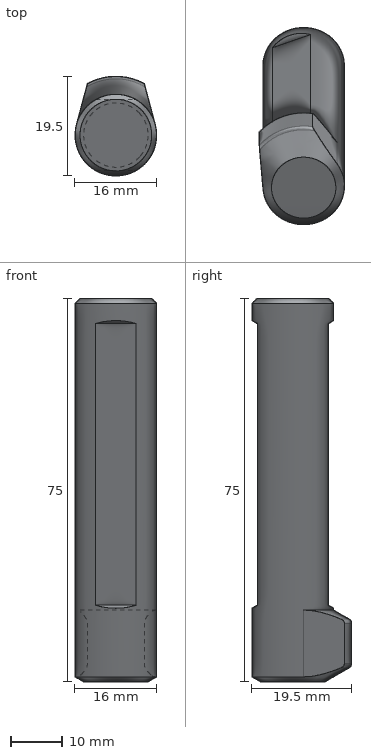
import cadquery as cq
import math

length = 75.0
diameter = 16.0
radius = diameter / 2
top_chamfer = 1.0

total_depth = 19.5
lobe_radius = total_depth - radius
lobe_side_angle = 15.0
bevel_slope = math.tan(math.radians(30))
bottom_rim = 1.0
lobe_top = 14.0
lobe_fillet = 1.0
bottom_radius = radius - bottom_rim / bevel_slope

flat_width = 7.95
flat_bottom = 15.0
flat_top = 70.05
flat_y = math.sqrt(radius**2 - (flat_width / 2) ** 2)
cut_margin = 0.75


def make_pin():
    """Round pin with a bevelled bottom and a chamfered top."""
    profile = [
        (0, 0),
        (bottom_radius, 0),
        (radius, bottom_rim),
        (radius, length - top_chamfer),
        (radius - top_chamfer, length),
        (0, length),
    ]
    return cq.Workplane("XZ").polyline(profile).close().revolve(360, (0, 0, 0), (0, 1, 0))


def make_lobe():
    """Double-bevelled disc trimmed to a teardrop: pin circle, tangent side faces, outer arc."""
    bevel_rise = (lobe_radius - bottom_radius) * bevel_slope
    top_height = lobe_top + bottom_rim
    profile = [
        (0, 0),
        (bottom_radius, 0),
        (lobe_radius, bevel_rise),
        (lobe_radius, top_height - bevel_rise),
        (bottom_radius, top_height),
        (0, top_height),
    ]
    disc = cq.Workplane("XZ").polyline(profile).close().revolve(360, (0, 0, 0), (0, 1, 0))
    outer_edges = cq.selectors.RadiusNthSelector(-1)
    disc = disc.edges("%CIRCLE").edges(outer_edges).fillet(lobe_fillet)

    angle = math.radians(lobe_side_angle)
    tangent_x = radius * math.cos(angle)
    tangent_y = radius * math.sin(angle)
    far_x = tangent_x - (total_depth - tangent_y) * math.tan(angle)
    teardrop = (
        cq.Workplane("XY")
        .moveTo(tangent_x, tangent_y)
        .lineTo(far_x, total_depth)
        .lineTo(-far_x, total_depth)
        .lineTo(-tangent_x, tangent_y)
        .threePointArc((0, -radius), (tangent_x, tangent_y))
        .close()
        .extrude(top_height)
    )
    return disc.intersect(teardrop)


def make_flat_cutter(side):
    """Cutter with sloping ends for one flat; side is -1 or +1 along Y."""
    outer_y = radius + cut_margin
    end_rise = (outer_y - flat_y) * bevel_slope
    profile = [
        (side * flat_y, flat_bottom),
        (side * outer_y, flat_bottom - end_rise),
        (side * outer_y, flat_top + end_rise),
        (side * flat_y, flat_top),
    ]
    return cq.Workplane("YZ").polyline(profile).close().extrude(radius, both=True)


pin = make_pin()
for side in (-1, 1):
    pin = pin.cut(make_flat_cutter(side))

result = pin.union(make_lobe())